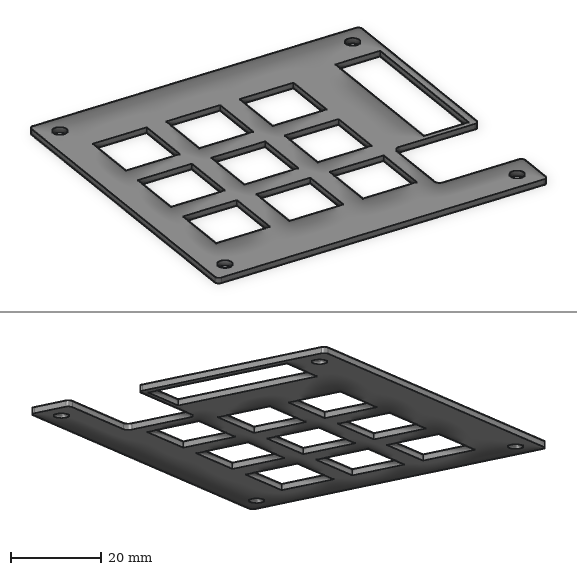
import cadquery as cq

plate_width = 79.6
plate_length = 86.0
plate_thickness = 1.5
corner_radius = 1.0

notch_left = 10.7
notch_right = 29.2
notch_floor = 20.8
notch_floor_radius = 1.4

window_width = 37.5
window_length = 11.6
window_center = (-9.5, 35.35)

keys_per_side = 3
key_size = 14.0
key_pitch = 19.1
key_grid_center = (0, -8.8)

hole_diameter = 3.4
hole_x = 34.8
front_right_hole_x = 35.1
hole_y = 38.1
hole_centers = [
    (-hole_x, hole_y),
    (hole_x, hole_y),
    (-hole_x, -hole_y),
    (front_right_hole_x, -hole_y),
]


def make_plate():
    """Notched plate with rounded corners."""
    right = plate_width / 2
    back = plate_length / 2
    outline = [
        (-right, -back),
        (right, -back),
        (right, back),
        (notch_right, back),
        (notch_right, notch_floor),
        (notch_left, notch_floor),
        (notch_left, back),
        (-right, back),
    ]
    plate = cq.Workplane("XY").polyline(outline).close().extrude(plate_thickness)
    outer_corners = cq.selectors.SumSelector(
        cq.StringSyntaxSelector("|Z and >Y"),
        cq.StringSyntaxSelector("|Z and <Y"),
    )
    plate = plate.edges(outer_corners).fillet(corner_radius)
    floor_corners = cq.selectors.BoxSelector(
        (notch_left - corner_radius, notch_floor - corner_radius, 0),
        (notch_right + corner_radius, notch_floor + corner_radius, plate_thickness),
    )
    return plate.edges("|Z").edges(floor_corners).fillet(notch_floor_radius)


def make_cutters():
    """Window, key and mounting hole cutters, as deep as the plate."""
    base = cq.Workplane("XY")
    window = base.center(*window_center).rect(window_width, window_length).extrude(plate_thickness)
    keys = (
        base.center(*key_grid_center)
        .rarray(key_pitch, key_pitch, keys_per_side, keys_per_side)
        .rect(key_size, key_size)
        .extrude(plate_thickness)
    )
    holes = base.pushPoints(hole_centers).circle(hole_diameter / 2).extrude(plate_thickness)
    return [window, keys, holes]


result = make_plate()
for cutter in make_cutters():
    result = result.cut(cutter)